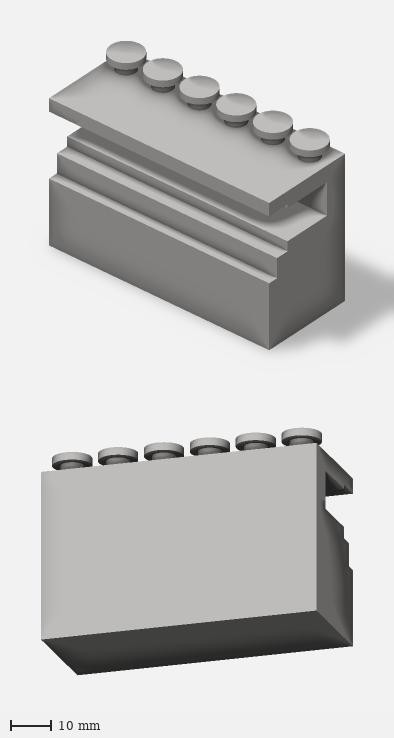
import cadquery as cq

length = 72.0
depth = 29.0
block_height = 44.0

base_height = 20.0
lower_step_height = 26.0
lower_step_setback = 3.0
upper_step_setback = 7.0

slot_floor = 29.0
slot_height = 10.0
slot_end = 22.0
lip_thickness = 4.0
slot_ceiling = slot_floor + slot_height
lip_underside = block_height - lip_thickness

pin_count = 6
pin_pitch = length / pin_count
pin_back_distance = 6.5
neck_diameter = 6.0
neck_height = 3.0
head_diameter = 10.0
head_thickness = 2.0


def make_block():
    """Constant profile in the YZ plane, extruded along X."""
    profile = [
        (0, 0),
        (depth, 0),
        (depth, block_height),
        (0, block_height),
        (0, lip_underside),
        (upper_step_setback, lip_underside),
        (upper_step_setback, slot_ceiling),
        (slot_end, slot_ceiling),
        (slot_end, slot_floor),
        (upper_step_setback, slot_floor),
        (upper_step_setback, lower_step_height),
        (lower_step_setback, lower_step_height),
        (lower_step_setback, base_height),
        (0, base_height),
    ]
    return cq.Workplane("YZ").polyline(profile).close().extrude(length)


def make_pin(x, y):
    """Cylindrical neck standing on the block, with a wider flat head."""
    neck = (
        cq.Workplane("XY", origin=(x, y, block_height))
        .circle(neck_diameter / 2)
        .extrude(neck_height)
    )
    return neck.faces(">Z").workplane().circle(head_diameter / 2).extrude(head_thickness)


result = make_block()
for index in range(pin_count):
    pin_x = (index + 0.5) * pin_pitch
    result = result.union(make_pin(pin_x, depth - pin_back_distance))